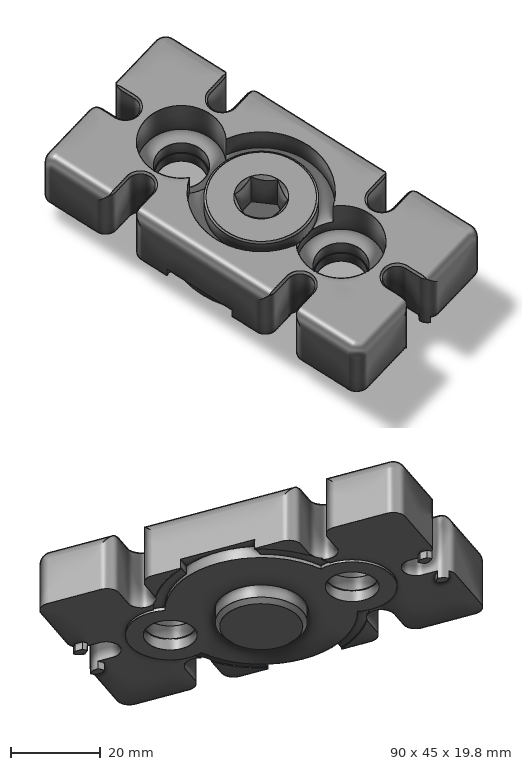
import cadquery as cq
import math

LENGTH = 90.0
WIDTH = 45.0
THICKNESS = 15.0
EDGE_RADIUS = 3.0

SLOT_WIDTH = 6.6
SIDE_SLOT_DEPTH = 10.9
END_SLOT_DEPTH = 10.0
MOUTH_RADIUS = 3.0
SLOT_CHAMFER = 0.5
SLOT_OVERCUT = 1.0

HOLE_OFFSET = LENGTH / 4
HOLE_DIAMETER = 12.5
COUNTERBORE_DIAMETER = 20.0
COUNTERBORE_FLOOR = 6.0

SEAT_DIAMETER = 33.0
SEAT_FLOOR = 9.0
BORE_DIAMETER = 20.96

RELIEF_DIAMETER = 48.0
RELIEF_DEPTH = 0.3
NOTCH_WIDTH = 18.3
NOTCH_HEIGHT = 2.4
PAD_RADIUS = 21.5
PAD_LOBE_DIAMETER = 20.0
PAD_HOLE_DIAMETER = 12.0
PAD_PROJECTION = 0.6

LUG_LENGTH = 2.0
LUG_SWEEP = math.radians(51)
LUG_BACK = 5.2
LUG_SLANT = 1.1

HEAD_DIAMETER = 25.6
HEAD_TOP = 13.1
HEAD_CHAMFER_HEIGHT = 0.3
HEAD_CHAMFER_WIDTH = 0.5
SHANK_DIAMETER = 20.5
SHANK_BOTTOM = -4.8
SHANK_CHAMFER_HEIGHT = 1.1
SHANK_CHAMFER_WIDTH = 1.0
HEX_FLATS = 10.4
HEX_DEPTH = 9.5
HEX_COUNTERSINK_DIAMETER = 12.2


def cylinder(diameter, bottom, top, x=0.0):
    """Upright cylinder centred on (x, 0)."""
    return cq.Workplane("XY", origin=(x, 0, bottom)).circle(diameter / 2).extrude(top - bottom)


def slot_outline(depth, bottom):
    """Slot running in from the mouth at X = 0 toward +X, flared by the mouth rounding."""
    half = SLOT_WIDTH / 2
    mouth_half = half + MOUTH_RADIUS
    bend = MOUTH_RADIUS * (1 - math.sqrt(0.5))
    arc_start = depth - half
    return (
        cq.Workplane("XY", origin=(0, 0, bottom))
        .moveTo(0, -mouth_half)
        .threePointArc((bend, -half - bend), (MOUTH_RADIUS, -half))
        .lineTo(arc_start, -half)
        .threePointArc((depth, 0), (arc_start, half))
        .lineTo(MOUTH_RADIUS, half)
        .threePointArc((bend, half + bend), (0, mouth_half))
        .lineTo(-SLOT_OVERCUT, mouth_half)
        .lineTo(-SLOT_OVERCUT, -mouth_half)
        .close()
    )


def slot_cutter(depth):
    """Full-height slot that widens into a chamfer at the top face."""
    slot = slot_outline(depth, 0).extrude(THICKNESS)
    flare = slot_outline(depth, THICKNESS - SLOT_CHAMFER).extrude(SLOT_CHAMFER, taper=-45)
    return slot.union(flare)


def place_slot(cutter, x, y, angle):
    """Turn a slot cutter about Z and move its mouth to (x, y)."""
    return cutter.rotate((0, 0, 0), (0, 0, 1), angle).translate((x, y, 0))


def make_blank():
    """Rounded block with its six slots."""
    blank = (
        cq.Workplane("XY")
        .box(LENGTH, WIDTH, THICKNESS, centered=(True, True, False))
        .edges("|Z or >Z")
        .fillet(EDGE_RADIUS)
    )
    side_slot = slot_cutter(SIDE_SLOT_DEPTH)
    end_slot = slot_cutter(END_SLOT_DEPTH)
    for x in (-HOLE_OFFSET, HOLE_OFFSET):
        blank = blank.cut(place_slot(side_slot, x, -WIDTH / 2, 90))
        blank = blank.cut(place_slot(side_slot, x, WIDTH / 2, -90))
    blank = blank.cut(place_slot(end_slot, -LENGTH / 2, 0, 0))
    blank = blank.cut(place_slot(end_slot, LENGTH / 2, 0, 180))
    return blank


def cut_pockets(plate):
    """Screw holes, plug seat and bore, opened from above, and the relief and notches below."""
    for x in (-HOLE_OFFSET, HOLE_OFFSET):
        plate = plate.cut(cylinder(HOLE_DIAMETER, 0, THICKNESS, x))
        plate = plate.cut(cylinder(COUNTERBORE_DIAMETER, COUNTERBORE_FLOOR, THICKNESS, x))
    plate = plate.cut(cylinder(SEAT_DIAMETER, SEAT_FLOOR, THICKNESS))
    plate = plate.cut(cylinder(RELIEF_DIAMETER, 0, RELIEF_DEPTH))
    notch_band = cq.Workplane("XY").box(NOTCH_WIDTH, WIDTH, NOTCH_HEIGHT, centered=(True, True, False))
    return plate.cut(notch_band)


def make_pad():
    """Sealing pad: a disc with a lobe around each screw hole."""
    pad = cylinder(2 * PAD_RADIUS, -PAD_PROJECTION, NOTCH_HEIGHT)
    for x in (-HOLE_OFFSET, HOLE_OFFSET):
        pad = pad.union(cylinder(PAD_LOBE_DIAMETER, -PAD_PROJECTION, NOTCH_HEIGHT, x))
    for x in (-HOLE_OFFSET, HOLE_OFFSET):
        pad = pad.cut(cylinder(PAD_HOLE_DIAMETER, -PAD_PROJECTION, NOTCH_HEIGHT, x))
    return pad


def make_lug():
    """Lug under the -X, +Y mouth corner: its front follows the mouth rounding, its back
    is parallel to the slot, and the sides joining them run at 45 degrees."""
    center_x = -LENGTH / 2 + MOUTH_RADIUS
    center_y = SLOT_WIDTH / 2 + MOUTH_RADIUS

    def mouth_point(angle):
        return (center_x - MOUTH_RADIUS * math.sin(angle), center_y - MOUTH_RADIUS * math.cos(angle))

    tip_x, tip_y = mouth_point(LUG_SWEEP)
    root_x, root_y = mouth_point(0)
    corner_x = root_x + LUG_SLANT
    corner_y = root_y + LUG_SLANT
    return (
        cq.Workplane("XY", origin=(0, 0, -LUG_LENGTH))
        .moveTo(root_x, root_y)
        .threePointArc(mouth_point(LUG_SWEEP / 2), (tip_x, tip_y))
        .lineTo(tip_x + LUG_BACK - tip_y, LUG_BACK)
        .lineTo(corner_x - (LUG_BACK - corner_y), LUG_BACK)
        .lineTo(corner_x, corner_y)
        .close()
        .extrude(LUG_LENGTH)
    )


def make_plate():
    """Complete plate: blank, pockets, sealing pad, four lugs and the plug bore."""
    plate = cut_pockets(make_blank()).union(make_pad())
    lug = make_lug()
    lug_pair = lug.union(lug.mirror("XZ"))
    plate = plate.union(lug_pair).union(lug_pair.mirror("YZ"))
    return plate.cut(cylinder(BORE_DIAMETER, -PAD_PROJECTION, SEAT_FLOOR))


def make_plug():
    """Flanged hexagon-socket plug."""
    head = (
        cylinder(HEAD_DIAMETER, SEAT_FLOOR, HEAD_TOP)
        .faces(">Z")
        .edges()
        .chamfer(HEAD_CHAMFER_HEIGHT, HEAD_CHAMFER_WIDTH)
    )
    shank = (
        cylinder(SHANK_DIAMETER, SHANK_BOTTOM, SEAT_FLOOR)
        .faces("<Z")
        .edges()
        .chamfer(SHANK_CHAMFER_HEIGHT, SHANK_CHAMFER_WIDTH)
    )
    hex_corners = HEX_FLATS / math.cos(math.pi / 6)
    socket = (
        cq.Workplane("XY", origin=(0, 0, HEAD_TOP - HEX_DEPTH))
        .transformed(rotate=(0, 0, 90))
        .polygon(6, hex_corners)
        .extrude(HEX_DEPTH)
    )
    countersink_radius = HEX_COUNTERSINK_DIAMETER / 2
    countersink = cq.Workplane(
        cq.Solid.makeCone(0, countersink_radius, countersink_radius, pnt=(0, 0, HEAD_TOP - countersink_radius))
    )
    return head.union(shank).cut(socket).cut(countersink)


plate = make_plate()
plug = make_plug()
result = cq.Compound.makeCompound([plate.val(), plug.val()])